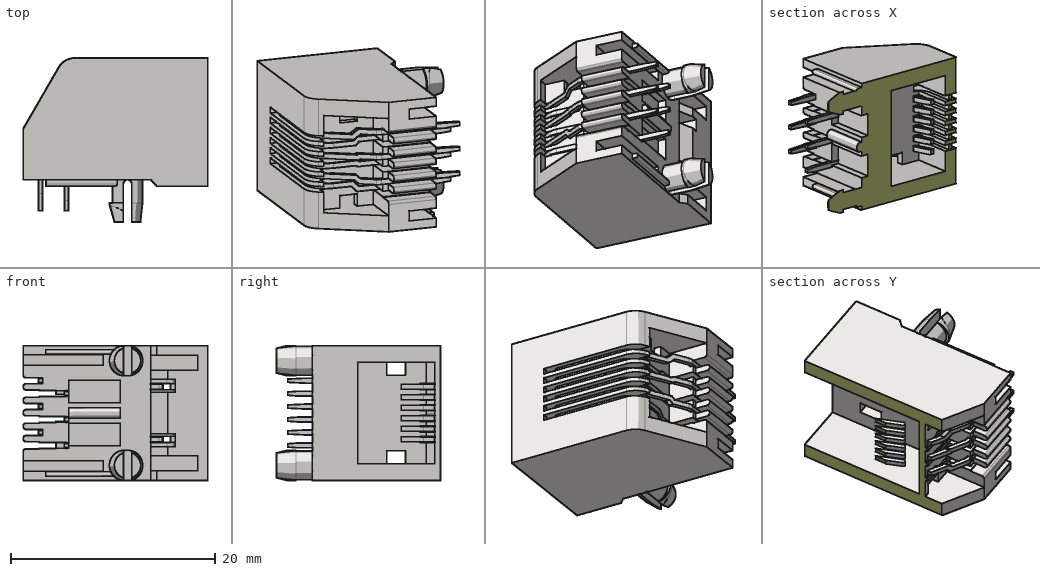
import cadquery as cq
import math


LENGTH = 18.1
WIDTH = 13.21
BACK_Y = 16.07
SEAT_Y = 4.15
FOOT_Y = 3.51
FOOT_X = 12.49
FOOT_CHAMFER = 0.6
SLOPE_Y = 9.12
SLOPE_ANGLE = 60.0
CORNER_RADIUS = 1.81
RAMP_END_X = 14.15

CAVITY_HALF_Z = 4.96
CAVITY_ROOF_Y = 14.68
CAVITY_FLOOR_Y = 7.96
MOUTH_ROOF_Y = 15.51
RIB_END_X = 14.91
BACK_WALL_X = 4.25
BACK_WALL_THICKNESS = 0.72
LONG_SLOT_X = 4.45
PORT_Y = (10.82, 12.62)
PORT_INNER_Z = 3.71
POCKET_BOTTOM_Y = 6.97
COMB_POCKET_X = (0.0, 7.85)
COMB_POCKET_Z = (4.69, 5.7)
FOOT_POCKET_X = (FOOT_X, 17.1)
FOOT_POCKET_Z = (4.2, 5.65)
CENTRE_POCKET_X = (LONG_SLOT_X, 9.5)
CENTRE_POCKET_Z = (1.0, 3.22)
CENTRE_POCKET_DEPTH = 0.8
LATCH_WINDOW_X = (FOOT_X, 14.91)
LATCH_WINDOW_Z = (2.05, 3.3)

CONTACTS = 6
PIN_PITCH = 1.27
CONTACT_PITCH = 1.03
CONTACT_WIDTH = 0.5
TIP_WIDTH = 0.35
CONTACT_THICKNESS = 0.42
SHORT_PIN_X = 1.72
LONG_PIN_X = 4.25
PIN_TIP_Y = 1.1
SHORT_TAPER_Y = 2.82
LONG_TAPER_Y = 2.15
SHORT_JOG_Y = 11.22
LONG_JOG_Y = 10.79
RUN_Y = 15.35
BEND_RADIUS = 1.97
LEAN_ANGLE = 30.0
LEAN_RADIUS = 0.72
HOOK_RADIUS = 0.4
HOOK_TIP_X = 13.7
TONGUE_ANGLE = 20.0
TONGUE_LENGTH = 6.34
SLOT_WIDTH = 0.56
SLOT_ENTRY_WIDTH = 0.69
SLOT_ENTRY_DEPTH = 1.57
SHORT_SLOT_X = 1.9
BLOCK_ROUNDING = 0.27
FINGER_TOP_Y = 8.56
GROOVE_WIDTH = 0.58
GROOVE_END_X = 14.43
GROOVE_Y = 14.06

PEG_X = 10.23
PEG_Z = 5.12
PEG_RADIUS = 1.48
PEG_TIP_RADIUS = 1.29
BARB_Y = 1.88
BARB_OVERHANG = 0.29
FLARE_RADIUS = 1.68
FLARE_OFFSET = 0.15
PEG_SLOT = 0.8
ROD_X = 2.23
ROD_Z = 5.97
ROD_RADIUS = 0.24
CENTRE_ROD_RADIUS = 0.52


def block(x, y, z):
    """Box between (low, high) pairs along each axis."""
    size = (x[1] - x[0], y[1] - y[0], z[1] - z[0])
    return cq.Workplane("XY").box(*size, centered=False).translate((x[0], y[0], z[0]))


def mirrored(x, y, z):
    """A box and its twin on the other side of Z = 0."""
    return block(x, y, z).union(block(x, y, (-z[1], -z[0])))


def centred(middle, width):
    return (middle - width / 2, middle + width / 2)


def spread(pitch):
    """Contact positions along Z, from the highest down."""
    return [pitch * ((CONTACTS - 1) / 2 - i) for i in range(CONTACTS)]


def is_short(index):
    return index % 2 == 0


def slope_x(y):
    return (y - SLOPE_Y) / math.tan(math.radians(SLOPE_ANGLE))


def housing():
    outline = [
        (0, SEAT_Y),
        (FOOT_X, SEAT_Y),
        (FOOT_X + FOOT_CHAMFER, FOOT_Y),
        (LENGTH, FOOT_Y),
        (LENGTH, BACK_Y),
        (slope_x(BACK_Y), BACK_Y),
        (0, SLOPE_Y),
    ]
    body = cq.Workplane("XY").polyline(outline).close().extrude(WIDTH / 2, both=True)
    corner = cq.selectors.NearestToPointSelector((slope_x(BACK_Y), BACK_Y, 0))
    body = body.edges("|Z").edges(corner).fillet(CORNER_RADIUS)

    wedge = [(FOOT_X, SEAT_Y), (RAMP_END_X, FOOT_Y), (FOOT_X, FOOT_Y)]
    ramp_half_z = FOOT_POCKET_Z[1]
    body = body.cut(cq.Workplane("XY").polyline(wedge).close().extrude(ramp_half_z, both=True))

    across = (-CAVITY_HALF_Z, CAVITY_HALF_Z)
    plug_x = (BACK_WALL_X + BACK_WALL_THICKNESS, LENGTH)
    body = body.cut(block((0, BACK_WALL_X), (SLOPE_Y, CAVITY_ROOF_Y), across))
    body = body.cut(block(plug_x, (CAVITY_FLOOR_Y, CAVITY_ROOF_Y), across))
    body = body.cut(mirrored((BACK_WALL_X, plug_x[0]), PORT_Y, (PORT_INNER_Z, CAVITY_HALF_Z)))

    round_radius = MOUTH_ROOF_Y - CAVITY_ROOF_Y
    round_x = RIB_END_X - round_radius
    mouth = block((round_x, LENGTH), (CAVITY_ROOF_Y, MOUTH_ROOF_Y), across)
    rib_end = cq.Workplane("XY").center(round_x, MOUTH_ROOF_Y).circle(round_radius)
    body = body.cut(mouth.cut(rib_end.extrude(WIDTH / 2, both=True)))

    pocket_y = (FOOT_Y, POCKET_BOTTOM_Y)
    centre_y = (SEAT_Y, SEAT_Y + CENTRE_POCKET_DEPTH)
    body = body.cut(mirrored(COMB_POCKET_X, pocket_y, COMB_POCKET_Z))
    body = body.cut(mirrored(FOOT_POCKET_X, pocket_y, FOOT_POCKET_Z))
    body = body.cut(mirrored(CENTRE_POCKET_X, centre_y, CENTRE_POCKET_Z))
    return body.cut(mirrored(LATCH_WINDOW_X, (FOOT_Y, CAVITY_FLOOR_Y), LATCH_WINDOW_Z))


def cut_comb(body):
    """Pin slots leaving round-nosed fingers at the comb end."""
    comb_y = (SEAT_Y, SLOPE_Y)
    for index, z in enumerate(spread(PIN_PITCH)):
        depth = SHORT_SLOT_X if is_short(index) else LONG_SLOT_X
        body = body.cut(block((0, depth), comb_y, centred(z, SLOT_WIDTH)))
        if not is_short(index):
            body = body.cut(block((0, SLOT_ENTRY_DEPTH), comb_y, centred(z, SLOT_ENTRY_WIDTH)))

    outer_slot = spread(PIN_PITCH)[0]
    inner = (-outer_slot, outer_slot)
    body = body.cut(block((0, SLOT_ENTRY_DEPTH), (FINGER_TOP_Y, SLOPE_Y), inner))

    radius = (PIN_PITCH - (SLOT_WIDTH + SLOT_ENTRY_WIDTH) / 2) / 2
    body = body.cut(block((0, radius), comb_y, inner))
    outer_edges = cq.selectors.BoxSelector((-0.18, SEAT_Y, -WIDTH / 3), (0.18, SLOPE_Y, WIDTH / 3))
    body = body.edges("|Y").edges(outer_edges).fillet(BLOCK_ROUNDING)
    shift = (SLOT_ENTRY_WIDTH - SLOT_WIDTH) / 4
    for index, slot_z in enumerate(spread(PIN_PITCH)[:-1]):
        z = slot_z - PIN_PITCH / 2 + (shift if is_short(index) else -shift)
        nose = cq.Workplane("XZ", origin=(radius, FINGER_TOP_Y, z)).circle(radius)
        body = body.union(nose.extrude(FINGER_TOP_Y - SEAT_Y))
    return body


def cut_grooves(body):
    """Grooves through the back wall that carry the contacts over to the mouth."""
    for z in spread(CONTACT_PITCH):
        start_x = slope_x(GROOVE_Y)
        across = centred(z, GROOVE_WIDTH)
        body = body.cut(block((start_x, GROOVE_END_X), (GROOVE_Y, BACK_Y), across))
        body = body.cut(block((start_x, LENGTH), (GROOVE_Y, MOUTH_ROOF_Y), across))
    return body


def arc_point(start, radius, angle):
    """Point reached by heading along +Y from start and bearing toward +X by the angle."""
    turn = math.radians(angle)
    return (start[0] + radius * (1 - math.cos(turn)), start[1] + radius * math.sin(turn))


def pin_path(index):
    """Middle line of the pin, up to the bend that leads into the run."""
    bend_start = (LONG_PIN_X, RUN_Y - BEND_RADIUS)
    run_start = arc_point(bend_start, BEND_RADIUS, 90)
    if not is_short(index):
        path = cq.Workplane("XY").moveTo(LONG_PIN_X, 0).lineTo(*bend_start)
        return path.threePointArc(arc_point(bend_start, BEND_RADIUS, 45), run_start)

    lean_end = arc_point(bend_start, BEND_RADIUS, LEAN_ANGLE)
    bend_middle = arc_point(bend_start, BEND_RADIUS, (LEAN_ANGLE + 90) / 2)
    lean_x = arc_point((SHORT_PIN_X, 0), LEAN_RADIUS, LEAN_ANGLE)[0]
    lean_y = lean_end[1] - (lean_end[0] - lean_x) / math.tan(math.radians(LEAN_ANGLE))
    pin_top = (SHORT_PIN_X, lean_y - LEAN_RADIUS * math.sin(math.radians(LEAN_ANGLE)))
    path = cq.Workplane("XY").moveTo(SHORT_PIN_X, 0).lineTo(*pin_top)
    path = path.threePointArc(arc_point(pin_top, LEAN_RADIUS, LEAN_ANGLE / 2), (lean_x, lean_y))
    return path.lineTo(*lean_end).threePointArc(bend_middle, run_start)


def contact(index):
    """Bent strip: its edge-on shape in XY trimmed by its face-on shape in YZ."""
    tongue = math.radians(TONGUE_ANGLE)
    hook_x = HOOK_TIP_X - HOOK_RADIUS - CONTACT_THICKNESS / 2
    hook_y = RUN_Y - HOOK_RADIUS
    hook_end = (hook_x + HOOK_RADIUS * math.sin(tongue), hook_y - HOOK_RADIUS * math.cos(tongue))
    tongue_end = (
        hook_end[0] - TONGUE_LENGTH * math.cos(tongue),
        hook_end[1] - TONGUE_LENGTH * math.sin(tongue),
    )

    path = (
        pin_path(index)
        .lineTo(hook_x, RUN_Y)
        .threePointArc((hook_x + HOOK_RADIUS, hook_y), hook_end)
        .lineTo(*tongue_end)
    )
    edge_on = path.offset2D(CONTACT_THICKNESS / 2).extrude(WIDTH / 2, both=True)

    pin_z = spread(PIN_PITCH)[index]
    top_z = spread(CONTACT_PITCH)[index]
    half = CONTACT_WIDTH / 2
    half_tip = TIP_WIDTH / 2
    taper_y = SHORT_TAPER_Y if is_short(index) else LONG_TAPER_Y
    jog_y = SHORT_JOG_Y if is_short(index) else LONG_JOG_Y
    mitre = math.copysign(half * math.tan(math.radians(45 / 2)), pin_z - top_z)
    jog_end_y = jog_y + abs(pin_z - top_z)
    outline = [
        (PIN_TIP_Y, pin_z - half_tip),
        (taper_y, pin_z - half),
        (jog_y - mitre, pin_z - half),
        (jog_end_y - mitre, top_z - half),
        (BACK_Y, top_z - half),
        (BACK_Y, top_z + half),
        (jog_end_y + mitre, top_z + half),
        (jog_y + mitre, pin_z + half),
        (taper_y, pin_z + half),
        (PIN_TIP_Y, pin_z + half_tip),
    ]
    face_on = cq.Workplane("YZ").polyline(outline).close().extrude(LENGTH)
    return edge_on.intersect(face_on)


def tapered_head(z, radius, offset):
    """Head tapering from a circle offset toward the comb end down to the tip circle."""
    return (
        cq.Workplane("XZ", origin=(PEG_X, BARB_Y, z))
        .center(-offset, 0)
        .circle(radius)
        .workplane(offset=BARB_Y)
        .center(offset, 0)
        .circle(PEG_TIP_RADIUS)
        .loft()
    )


def peg(z):
    """Split snap peg: a plain half toward the mouth and a barbed half toward the comb."""
    shank = cq.Workplane("XZ", origin=(PEG_X, SEAT_Y, z)).circle(PEG_RADIUS).extrude(SEAT_Y - BARB_Y)
    around = centred(z, WIDTH)
    plain_half = tapered_head(z, PEG_RADIUS, 0)
    plain_half = plain_half.intersect(block((PEG_X, LENGTH), (0, SEAT_Y), around))

    trim = (
        cq.Workplane("XZ", origin=(PEG_X, BARB_Y, z))
        .center(-BARB_OVERHANG / 2, 0)
        .slot2D(2 * PEG_RADIUS + BARB_OVERHANG, 2 * PEG_RADIUS)
        .extrude(BARB_Y)
    )
    barbed_half = tapered_head(z, FLARE_RADIUS, FLARE_OFFSET).intersect(trim)
    barbed_half = barbed_half.intersect(block((0, PEG_X), (0, SEAT_Y), around))

    slot_top_y = SEAT_Y - PEG_SLOT / 2
    slot_z = centred(z, 2 * FLARE_RADIUS)
    slot = block(centred(PEG_X, PEG_SLOT), (0, slot_top_y), slot_z)
    slot_end = (
        cq.Workplane("XY", origin=(PEG_X, slot_top_y, slot_z[0]))
        .circle(PEG_SLOT / 2)
        .extrude(2 * FLARE_RADIUS)
    )
    return shank.union(plain_half).union(barbed_half).cut(slot).cut(slot_end)


def rod(start_x, end_x, z, radius):
    """Round-nosed rib along X, level with the foot."""
    nose_y = FOOT_Y + radius
    nose = cq.Workplane("YZ", origin=(start_x, nose_y, z)).circle(radius).extrude(end_x - start_x)
    root = block((start_x, end_x), (nose_y, SEAT_Y + radius), centred(z, 2 * radius))
    keep = block((start_x, end_x), (FOOT_Y, SEAT_Y + ROD_RADIUS), centred(z, 2 * radius))
    return nose.union(root).intersect(keep)


result = cut_grooves(cut_comb(housing()))
for i in range(CONTACTS):
    result = result.union(contact(i))
for side in (-1, 1):
    result = result.union(peg(side * PEG_Z))
    result = result.union(rod(ROD_X, PEG_X - PEG_SLOT, side * ROD_Z, ROD_RADIUS))
result = result.union(rod(*CENTRE_POCKET_X, 0, CENTRE_ROD_RADIUS))